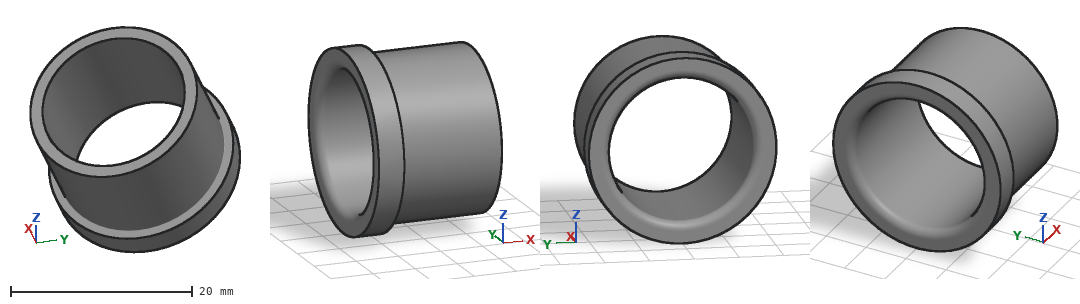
import cadquery as cq

total_length = 15.0
flange_diameter = 21.0
flange_thickness = 3.0
body_diameter = 19.0
bore_diameter = 16.2
bore_entry_radius = 1.0
shoulder_radius = 0.05


def cylinder_along_x(diameter, length):
    return cq.Workplane("YZ").circle(diameter / 2).extrude(length)


flange = cylinder_along_x(flange_diameter, flange_thickness)
body = cylinder_along_x(body_diameter, total_length)
bore = cylinder_along_x(bore_diameter, total_length)
bushing = flange.union(body).cut(bore)

half_body = body_diameter / 2
shoulder_edge = bushing.edges(
    cq.selectors.BoxSelector(
        (flange_thickness - shoulder_radius, -half_body, -half_body),
        (flange_thickness + shoulder_radius, half_body, half_body),
    )
).edges(cq.selectors.RadiusNthSelector(0))
bushing = shoulder_edge.fillet(shoulder_radius)

bore_entry_edge = bushing.faces("<X").edges(cq.selectors.RadiusNthSelector(0))
result = bore_entry_edge.fillet(bore_entry_radius)